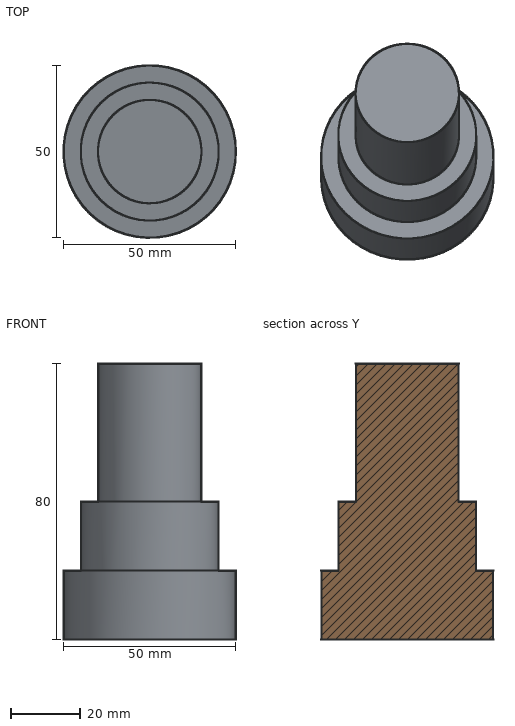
import cadquery as cq

total_height = 80.0
base_diameter = 50.0
collar_diameter = 40.0
pin_diameter = 30.0

base_height = total_height / 4
collar_height = total_height / 4
pin_height = total_height - base_height - collar_height


def add_step(body, diameter, height):
    """Stack a coaxial cylinder on the top face of the body."""
    return body.faces(">Z").workplane().circle(diameter / 2).extrude(height)


base = cq.Workplane("XY").circle(base_diameter / 2).extrude(base_height)
with_collar = add_step(base, collar_diameter, collar_height)
result = add_step(with_collar, pin_diameter, pin_height)